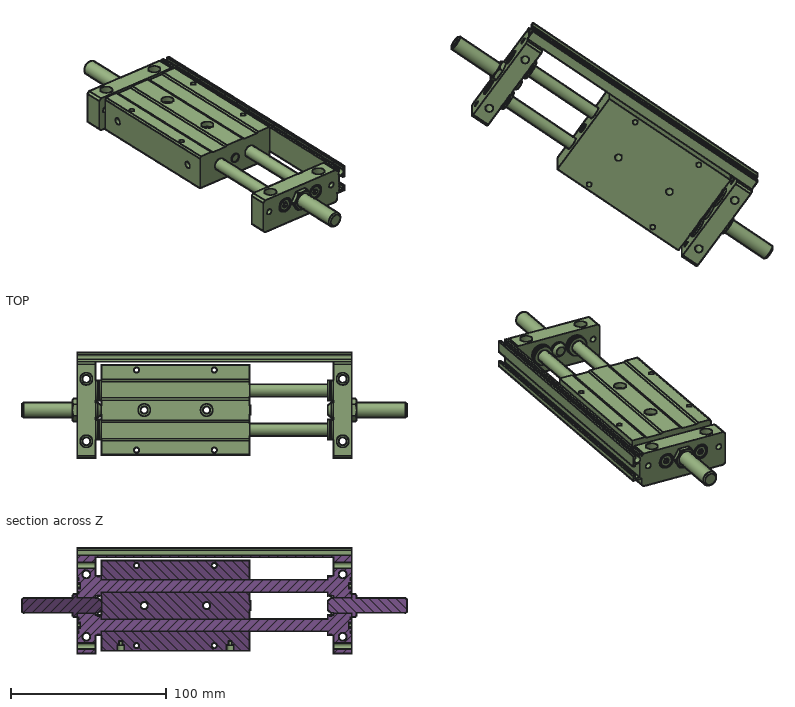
import cadquery as cq
import math


frame_length = 176.4
plate_thickness = 11.9
plate_width = 61.8
plate_top = 10.0
plate_height = 24.0
plate_chamfer = 1.5
plate_bolt_y = 20.0
plate_bolt_diameter = 5.0
bolt_head_diameter = 8.0
plate_bolt_head_depth = 6.0
plate_side_hole_y = 26.0
plate_side_hole_diameter = 3.7

rod_y = 12.5
rod_diameter = 8.2
collar_diameter = 13.0
collar_length = 3.7
collar_groove_width = 1.0
collar_groove_depth = 0.5
screw_recess_diameter = 10.0
screw_recess_depth = 1.0
screw_head_diameter = 8.0
screw_socket_corners = 3.7
screw_socket_depth = 2.0

rail_width = 6.2
rail_height = 18.0
rail_wall = 1.5
rail_head_height = 6.2
rail_head_lip_height = 7.7
rail_foot_lip_height = 3.5
sensor_groove_diameter = 4.2
sensor_groove_depth = 3.5
sensor_slot_width = 2.7

carriage_length = 95.0
carriage_width = 58.0
carriage_height = 23.7
carriage_edge_width = 0.7
carriage_edge_height = 1.5
top_groove_y = 13.0
top_groove_width = 13.3
top_groove_floor_width = 10.4
top_groove_depth = 0.7
carriage_bolt_pitch = 40.0
carriage_bolt_diameter = 4.5
carriage_bolt_head_depth = 3.7
corner_hole_pitch_x = 50.0
corner_hole_pitch_y = 51.4
corner_hole_diameter = 3.2
port_pitch = 70.1
port_diameter = 4.5
port_depth = 3.7
port_bore_diameter = 2.0
port_bore_depth = 6.2
end_pad_diameter = 6.0
end_pad_length = 0.7

overall_length = 247.0
stop_diameter = 10.0
stop_end_chamfer = 1.0
stop_tip_diameter = 6.0
stop_tip_length = 2.2
nut_across_flats = 12.8
nut_thickness = 3.0
nut_chamfer_height = 0.7

plate_outer_x = frame_length / 2
plate_inner_x = plate_outer_x - plate_thickness
collar_inner_x = plate_inner_x - collar_length
plate_center_x = plate_outer_x - plate_thickness / 2
rail_inner_y = plate_width / 2
rail_outer_y = rail_inner_y + rail_width
rail_bottom = plate_top - rail_height
carriage_start_x = -collar_inner_x
carriage_center_x = carriage_start_x + carriage_length / 2
carriage_top = carriage_height / 2
SIDES = (-1, 1)


def x_cylinder(diameter, start_x, end_x, y=0.0):
    """Cylinder along X between two x positions, centred on z = 0."""
    return cq.Workplane("YZ", origin=(start_x, y, 0)).circle(diameter / 2).extrude(end_x - start_x)


def x_pair(workplane):
    """The given shape together with its mirror image across x = 0."""
    return workplane.union(workplane.mirror("YZ"))


def counterbored_holes(points, top_z, hole_diameter, head_diameter, head_depth, depth):
    """Cutter for vertical through holes with a counterbore at the top."""
    plane = cq.Workplane("XY", origin=(0, 0, top_z))
    holes = plane.pushPoints(points).circle(hole_diameter / 2).extrude(-depth)
    heads = plane.pushPoints(points).circle(head_diameter / 2).extrude(-head_depth)
    return holes.union(heads)


def make_end_plate():
    """The +X end plate with its bolt holes, side holes and stop bore."""
    plate = (
        cq.Workplane("XY")
        .box(plate_thickness, plate_width, plate_height)
        .edges("|X")
        .chamfer(plate_chamfer)
        .translate((plate_center_x, 0, plate_top - plate_height / 2))
    )
    bolt_points = [(plate_center_x, side * plate_bolt_y) for side in SIDES]
    plate = plate.cut(
        counterbored_holes(
            bolt_points,
            plate_top,
            plate_bolt_diameter,
            bolt_head_diameter,
            plate_bolt_head_depth,
            plate_height,
        )
    )
    plate = plate.cut(x_cylinder(stop_diameter, plate_inner_x, plate_outer_x))
    for side in SIDES:
        plate = plate.cut(
            x_cylinder(plate_side_hole_diameter, plate_inner_x, plate_outer_x, side * plate_side_hole_y)
        )
        plate = plate.cut(make_screw_recess(side * rod_y))
    return plate


def make_screw_recess(y):
    """Cutter for the ring gap around a flush screw head and the hexagon socket in the head."""
    recess_floor_x = plate_outer_x - screw_recess_depth
    ring = x_cylinder(screw_recess_diameter, recess_floor_x, plate_outer_x, y).cut(
        x_cylinder(screw_head_diameter, recess_floor_x, plate_outer_x, y)
    )
    socket = (
        cq.Workplane("YZ", origin=(plate_outer_x, y, 0))
        .polygon(6, screw_socket_corners)
        .extrude(-screw_socket_depth)
    )
    return ring.union(socket)


def make_collar(y):
    """Grooved collar on a guide rod, against the inner face of the +X end plate."""
    groove_start_x = (collar_inner_x + plate_inner_x - collar_groove_width) / 2
    groove_end_x = groove_start_x + collar_groove_width
    core_diameter = collar_diameter - 2 * collar_groove_depth
    groove = x_cylinder(collar_diameter, groove_start_x, groove_end_x, y).cut(
        x_cylinder(core_diameter, groove_start_x, groove_end_x, y)
    )
    return x_cylinder(collar_diameter, collar_inner_x, plate_inner_x, y).cut(groove)


def make_rail():
    """Sensor rail: a web with a slotted head at the top and a hooked foot at the bottom."""
    web_outer_y = rail_inner_y + rail_wall
    lip_inner_y = rail_outer_y - rail_wall
    outline = [
        (rail_inner_y, rail_bottom),
        (rail_outer_y, rail_bottom),
        (rail_outer_y, rail_bottom + rail_foot_lip_height),
        (lip_inner_y, rail_bottom + rail_foot_lip_height),
        (lip_inner_y, rail_bottom + rail_wall),
        (web_outer_y, rail_bottom + rail_wall),
        (web_outer_y, plate_top - rail_head_height),
        (lip_inner_y, plate_top - rail_head_height),
        (lip_inner_y, plate_top - rail_head_lip_height),
        (rail_outer_y, plate_top - rail_head_lip_height),
        (rail_outer_y, plate_top),
        (rail_inner_y, plate_top),
    ]
    rail_plane = cq.Workplane("YZ", origin=(-plate_outer_x, 0, 0))
    groove_y = rail_inner_y + rail_width / 2
    groove_z = plate_top - sensor_groove_depth
    groove = (
        rail_plane.center(groove_y, groove_z).circle(sensor_groove_diameter / 2).extrude(frame_length)
    )
    slot = (
        rail_plane.center(groove_y, groove_z + sensor_groove_depth / 2)
        .rect(sensor_slot_width, sensor_groove_depth)
        .extrude(frame_length)
    )
    return rail_plane.polyline(outline).close().extrude(frame_length).cut(groove).cut(slot)


def make_frame():
    """Both end plates joined by the guide rods, their collars and the sensor rail."""
    frame = x_pair(make_end_plate()).union(make_rail())
    for side in SIDES:
        y = side * rod_y
        frame = frame.union(x_cylinder(rod_diameter, -plate_inner_x, plate_inner_x, y))
        frame = frame.union(x_pair(make_collar(y)))
    return frame


def make_carriage_blank():
    """Carriage block with one chamfered long edge and two shallow grooves along its top."""
    half_width = carriage_width / 2
    end_plane = cq.Workplane("YZ", origin=(carriage_start_x, 0, 0))
    outline = [
        (-half_width, -carriage_top),
        (half_width, -carriage_top),
        (half_width, carriage_top),
        (-half_width + carriage_edge_width, carriage_top),
        (-half_width, carriage_top - carriage_edge_height),
    ]
    blank = end_plane.polyline(outline).close().extrude(carriage_length)
    for side in SIDES:
        center_y = side * top_groove_y
        floor_z = carriage_top - top_groove_depth
        groove_outline = [
            (center_y - top_groove_width / 2, carriage_top),
            (center_y - top_groove_floor_width / 2, floor_z),
            (center_y + top_groove_floor_width / 2, floor_z),
            (center_y + top_groove_width / 2, carriage_top),
        ]
        blank = blank.cut(end_plane.polyline(groove_outline).close().extrude(carriage_length))
    return blank


def make_carriage():
    """Carriage with rod bores, mounting holes, side ports and the end pad."""
    end_x = carriage_start_x + carriage_length
    carriage = make_carriage_blank()
    for side in SIDES:
        carriage = carriage.cut(x_cylinder(rod_diameter, carriage_start_x, end_x, side * rod_y))

    bolt_points = [(carriage_center_x + side * carriage_bolt_pitch / 2, 0) for side in SIDES]
    carriage = carriage.cut(
        counterbored_holes(
            bolt_points,
            carriage_top,
            carriage_bolt_diameter,
            bolt_head_diameter,
            carriage_bolt_head_depth,
            carriage_height,
        )
    )
    corner_holes = (
        cq.Workplane("XY", origin=(carriage_center_x, 0, -carriage_top))
        .rarray(corner_hole_pitch_x, corner_hole_pitch_y, 2, 2)
        .circle(corner_hole_diameter / 2)
        .extrude(carriage_height)
    )
    carriage = carriage.cut(corner_holes)

    side_plane = cq.Workplane("XZ", origin=(carriage_center_x, -carriage_width / 2, 0))
    port_points = [(side * port_pitch / 2, 0) for side in SIDES]
    for diameter, depth in ((port_diameter, port_depth), (port_bore_diameter, port_bore_depth)):
        carriage = carriage.cut(side_plane.pushPoints(port_points).circle(diameter / 2).extrude(-depth))

    return carriage.union(x_cylinder(end_pad_diameter, end_x, end_x + end_pad_length))


def make_nut():
    """Hexagon lock nut on the outer face of the +X end plate, its outer corners turned to a cone."""
    corner_diameter = nut_across_flats / math.cos(math.pi / 6)
    nut = cq.Workplane("YZ", origin=(plate_outer_x, 0, 0)).polygon(6, corner_diameter).extrude(nut_thickness)
    corner_radius = corner_diameter / 2
    nut_outer_x = plate_outer_x + nut_thickness
    cone_profile = [
        (plate_outer_x, 0),
        (plate_outer_x, corner_radius),
        (nut_outer_x - nut_chamfer_height, corner_radius),
        (nut_outer_x, nut_across_flats / 2),
        (nut_outer_x, 0),
    ]
    envelope = cq.Workplane("XY").polyline(cone_profile).close().revolve(360, (0, 0, 0), (1, 0, 0))
    return nut.intersect(envelope)


def make_stop(side):
    """Stop barrel with its lock nut, at the +X end (side 1) or the -X end (side -1)."""
    end_x = overall_length / 2
    radius = stop_diameter / 2
    profile = [
        (collar_inner_x, 0),
        (collar_inner_x, stop_tip_diameter / 2),
        (collar_inner_x + stop_tip_length, radius),
        (end_x - stop_end_chamfer, radius),
        (end_x, radius - stop_end_chamfer),
        (end_x, 0),
    ]
    barrel = cq.Workplane("XY").polyline(profile).close().revolve(360, (0, 0, 0), (1, 0, 0))
    stop = barrel.union(make_nut())
    return stop if side > 0 else stop.mirror("YZ")


frame = make_frame()
carriage = make_carriage()
stops = [make_stop(side) for side in SIDES]

result = cq.Compound.makeCompound([frame.val(), carriage.val(), *[stop.val() for stop in stops]])